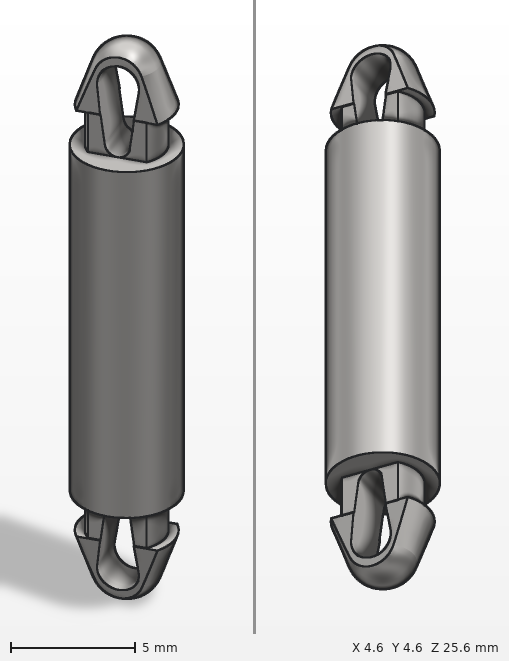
import cadquery as cq
import math

total_length = 25.6
body_diameter = 4.6
clip_length = 4.8
half_length = total_length / 2
body_end = half_length - clip_length

neck_radius = 1.7
neck_thickness = 2.25

head_length = 2.97
barb_radius = 2.1
dome_radius = 1.48
barb_z = half_length - head_length
dome_center_z = half_length - dome_radius

head_base_thickness = 2.35
head_tip_thickness = 1.8

slot_wide_radius = 0.9
slot_narrow_radius = 0.55
slot_roof = 0.72
slot_wide_z = half_length - slot_roof - slot_wide_radius
slot_narrow_z = body_end + slot_narrow_radius


def point_on_circle(radius, center_z, angle):
    """Return the (x, z) point at an angle measured up from +X."""
    return radius * math.cos(angle), center_z + radius * math.sin(angle)


def make_neck():
    flats = cq.Workplane("XY").workplane(offset=body_end).rect(2 * neck_radius, neck_thickness).extrude(
        barb_z - body_end
    )
    cylinder = cq.Workplane("XY").workplane(offset=body_end).circle(neck_radius).extrude(barb_z - body_end)
    return cylinder.intersect(flats)


def make_head():
    drop = dome_center_z - barb_z
    barb_distance = math.hypot(barb_radius, drop)
    tangent_angle = math.acos(dome_radius / barb_distance) - math.atan2(drop, barb_radius)
    cone_top = point_on_circle(dome_radius, dome_center_z, tangent_angle)
    dome_middle = point_on_circle(dome_radius, dome_center_z, (tangent_angle + math.pi / 2) / 2)
    revolved = (
        cq.Workplane("XZ")
        .moveTo(0, barb_z)
        .lineTo(barb_radius, barb_z)
        .lineTo(*cone_top)
        .threePointArc(dome_middle, (0, half_length))
        .close()
        .revolve(360, (0, 0, 0), (0, 1, 0))
    )
    tapered_slab = (
        cq.Workplane("YZ")
        .polyline([
            (-head_base_thickness / 2, barb_z),
            (head_base_thickness / 2, barb_z),
            (head_tip_thickness / 2, half_length),
            (-head_tip_thickness / 2, half_length),
        ])
        .close()
        .extrude(barb_radius, both=True)
    )
    return revolved.intersect(tapered_slab)


def make_slot():
    side_angle = math.asin((slot_narrow_radius - slot_wide_radius) / (slot_wide_z - slot_narrow_z))
    wide_x, wide_z = point_on_circle(slot_wide_radius, slot_wide_z, side_angle)
    narrow_x, narrow_z = point_on_circle(slot_narrow_radius, slot_narrow_z, side_angle)
    return (
        cq.Workplane("XZ")
        .moveTo(narrow_x, narrow_z)
        .lineTo(wide_x, wide_z)
        .threePointArc((0, slot_wide_z + slot_wide_radius), (-wide_x, wide_z))
        .lineTo(-narrow_x, narrow_z)
        .threePointArc((0, body_end), (narrow_x, narrow_z))
        .close()
        .extrude(body_diameter / 2, both=True)
    )


body = cq.Workplane("XY").workplane(offset=-body_end).circle(body_diameter / 2).extrude(2 * body_end)
top_clip = make_neck().union(make_head()).cut(make_slot())
bottom_clip = top_clip.mirror("XY")

result = body.union(top_clip).union(bottom_clip)